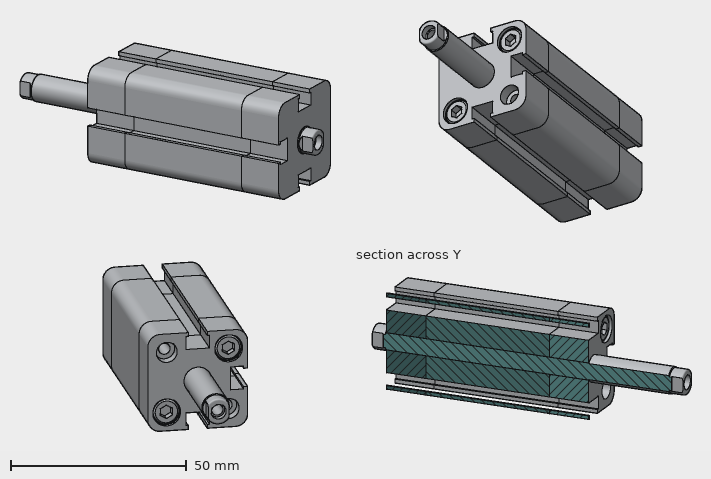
import cadquery as cq


PROFILE_SIZE = 29.0
CORNER_RADIUS = 3.6
SLOT_MOUTH_WIDTH = 5.5
SLOT_INNER_WIDTH = 6.8
SLOT_DEPTH = 5.0
SLOT_LIP = 1.2

CAP_LENGTH = 12.3
BARREL_LENGTH = 38.6
BARREL_START = CAP_LENGTH
REAR_CAP_START = BARREL_START + BARREL_LENGTH
HOUSING_LENGTH = REAR_CAP_START + CAP_LENGTH

ROD_DIAMETER = 8.0
ROD_FRONT_PROJECTION = 29.3
ROD_REAR_PROJECTION = 4.5
ROD_LENGTH = ROD_FRONT_PROJECTION + HOUSING_LENGTH + ROD_REAR_PROJECTION
TIP_DIAMETER = 7.5
TIP_LENGTH = 4.4
TIP_ROUNDING = 0.5
SHOULDER_CHAMFER = (ROD_DIAMETER - TIP_DIAMETER) / 2
FLAT_WIDTH = 6.05
FLAT_LENGTH = 3.4
THREAD_CORE_DIAMETER = 3.3
THREAD_DEPTH = 10.0
THREAD_MOUTH_DIAMETER = 4.3
THREAD_MOUTH_DEPTH = 2.0

FASTENER_OFFSET = 9.0
SCREW_POSITIONS = [(-FASTENER_OFFSET, FASTENER_OFFSET), (FASTENER_OFFSET, -FASTENER_OFFSET)]
HOLE_POSITIONS = [(FASTENER_OFFSET, FASTENER_OFFSET), (-FASTENER_OFFSET, -FASTENER_OFFSET)]
HOLE_COUNTERBORE_DIAMETER = 6.0
HOLE_COUNTERBORE_DEPTH = 3.4
HEAD_POCKET_DIAMETER = 8.0
HEAD_DIAMETER = 7.5
HEAD_RECESS = 0.6
HEAD_CHAMFER = 0.5
SOCKET_ACROSS_CORNERS = 4.0
SOCKET_DEPTH = 2.5


def cylinder(start, length, diameter, y=0.0, z=0.0):
    """Cylinder along +X beginning at X = start."""
    return cq.Workplane("YZ", origin=(start, y, z)).circle(diameter / 2).extrude(length)


def slot_cutter(start, length):
    """Lipped T-slot entering from the -Y face, running along X."""
    lip_edge = -PROFILE_SIZE / 2 + SLOT_LIP
    floor = -PROFILE_SIZE / 2 + SLOT_DEPTH
    mouth = (
        cq.Workplane("YZ", origin=(start, -PROFILE_SIZE / 2, 0))
        .rect(2 * SLOT_LIP, SLOT_MOUTH_WIDTH)
        .extrude(length)
    )
    chamber = (
        cq.Workplane("YZ", origin=(start, (lip_edge + floor) / 2, 0))
        .rect(floor - lip_edge, SLOT_INNER_WIDTH)
        .extrude(length)
    )
    return mouth.union(chamber)


def housing_section(start, length):
    """One length of the housing profile, slotted on -Y, +Z and -Z and bored for the rod."""
    section = (
        cq.Workplane("YZ", origin=(start, 0, 0))
        .rect(PROFILE_SIZE, PROFILE_SIZE)
        .extrude(length)
        .edges("|X")
        .fillet(CORNER_RADIUS)
    )
    slot = slot_cutter(start, length)
    for angle in (-90, 0, 90):
        section = section.cut(slot.rotate((0, 0, 0), (1, 0, 0), angle))
    return section.cut(cylinder(start, length, ROD_DIAMETER))


def screw_recess(y, z):
    """Space above, around and inside a sunk socket screw head with a chamfered rim."""
    pocket = cylinder(0, HEAD_RECESS + HEAD_CHAMFER, HEAD_POCKET_DIAMETER, y, z)
    head_rim = (
        cq.Workplane("YZ", origin=(HEAD_RECESS + HEAD_CHAMFER, y, z))
        .circle(HEAD_DIAMETER / 2)
        .workplane(offset=-HEAD_CHAMFER)
        .circle(HEAD_DIAMETER / 2 - HEAD_CHAMFER)
        .loft(ruled=True)
    )
    socket = (
        cq.Workplane("YZ", origin=(HEAD_RECESS, y, z))
        .transformed(rotate=(0, 0, 90))
        .polygon(6, SOCKET_ACROSS_CORNERS)
        .extrude(SOCKET_DEPTH)
    )
    return pocket.cut(head_rim).union(socket)


def threaded_hole(y, z):
    """Counterbored core hole through the front cap."""
    core = cylinder(0, CAP_LENGTH, THREAD_CORE_DIAMETER, y, z)
    return core.union(cylinder(0, HOLE_COUNTERBORE_DEPTH, HOLE_COUNTERBORE_DIAMETER, y, z))


def make_front_cap():
    cap = housing_section(0, CAP_LENGTH)
    for y, z in SCREW_POSITIONS:
        cap = cap.cut(screw_recess(y, z))
    for y, z in HOLE_POSITIONS:
        cap = cap.cut(threaded_hole(y, z))
    return cap


def tip_flat_cutter(tip_x):
    """Wrench flat on the -Y side of the tip, running out at 45 degrees."""
    flat_y = -FLAT_WIDTH / 2
    outer_y = -ROD_DIAMETER
    return (
        cq.Workplane("XY", origin=(tip_x, 0, -ROD_DIAMETER))
        .moveTo(0, flat_y)
        .lineTo(FLAT_LENGTH, flat_y)
        .lineTo(FLAT_LENGTH + flat_y - outer_y, outer_y)
        .lineTo(0, outer_y)
        .close()
        .extrude(2 * ROD_DIAMETER)
    )


def make_piston_rod():
    """Rod with the same stepped, flatted and threaded tip at both ends."""
    tip_x = -ROD_FRONT_PROJECTION
    middle_x = tip_x + ROD_LENGTH / 2
    tip_radius = TIP_DIAMETER / 2
    mouth_radius = THREAD_MOUTH_DIAMETER / 2
    core_radius = THREAD_CORE_DIAMETER / 2

    half_rod = (
        cq.Workplane("XY")
        .moveTo(tip_x, mouth_radius)
        .lineTo(tip_x, tip_radius - TIP_ROUNDING)
        .radiusArc((tip_x + TIP_ROUNDING, tip_radius), TIP_ROUNDING)
        .lineTo(tip_x + TIP_LENGTH - SHOULDER_CHAMFER, tip_radius)
        .lineTo(tip_x + TIP_LENGTH, ROD_DIAMETER / 2)
        .lineTo(middle_x, ROD_DIAMETER / 2)
        .lineTo(middle_x, 0)
        .lineTo(tip_x + THREAD_DEPTH, 0)
        .lineTo(tip_x + THREAD_DEPTH, core_radius)
        .lineTo(tip_x + THREAD_MOUTH_DEPTH, core_radius)
        .lineTo(tip_x + THREAD_MOUTH_DEPTH, mouth_radius)
        .close()
        .revolve(360, (0, 0, 0), (1, 0, 0))
    )
    flat = tip_flat_cutter(tip_x)
    half_rod = half_rod.cut(flat).cut(flat.mirror("XZ"))
    return half_rod.union(half_rod.mirror("YZ", (middle_x, 0, 0)))


front_cap = make_front_cap()
barrel = housing_section(BARREL_START, BARREL_LENGTH)
rear_cap = housing_section(REAR_CAP_START, CAP_LENGTH)
piston_rod = make_piston_rod()

result = cq.Compound.makeCompound(
    [front_cap.val(), barrel.val(), rear_cap.val(), piston_rod.val()]
)